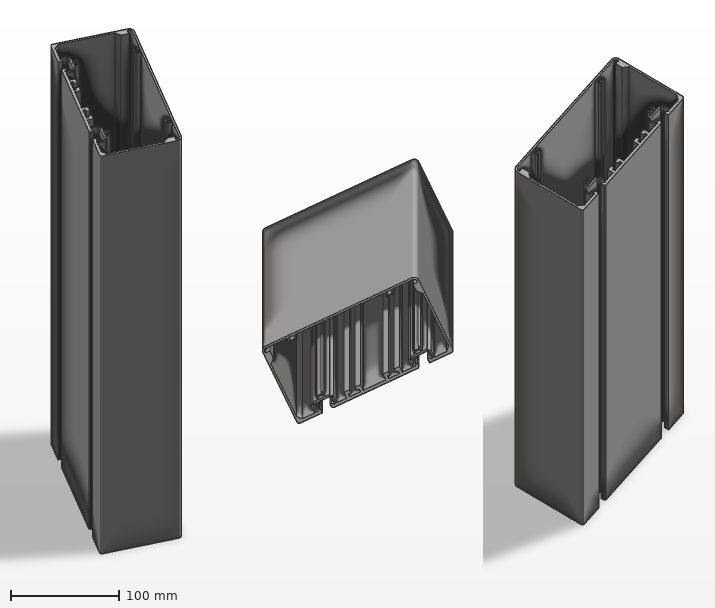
import cadquery as cq

width = 160.0
depth = 80.0
length = 500.0

wall = 2.0
front_wall = 3.0
back_corner_radius = 5.0
front_corner_radius = 2.5
gusset_leg = 4.0

block_start = 6.0
block_end = 13.5
block_reach = 4.5

channel_x = 50.0
slot_half_width = 5.0
slot_chamfer = 1.5
lip_width = 1.5
lip_height = 1.5
channel_half_width = 10.0
leg_thickness = 1.5
shoulder_height = 10.5
roof_underside = 11.0
roof_top = 13.0
roof_edge_base = 12.0
roof_half_width = 8.5
channel_chamfer = 1.5

port_half_width = 4.0
port_prong = 1.5
port_height = 6.0
port_shoulder = 4.5
port_web_base = 3.25
port_web_thickness = 0.5

clip_pair_x = 20.0
clip_pair_half_width = 8.5
clip_stem = 3.0
clip_head = 5.5
clip_head_base = 5.5
clip_height = 9.0

half_width = width / 2
front_y = -depth / 2
back_y = depth / 2
inner_x = half_width - wall
inner_front_y = front_y + front_wall
inner_back_y = back_y - wall


def prism(points):
    """Extrude a closed XY outline over the full length."""
    return cq.Workplane("XY").polyline(points).close().extrude(length)


def box(x_min, x_max, y_min, y_max):
    return prism([(x_min, y_min), (x_max, y_min), (x_max, y_max), (x_min, y_max)])


def both_sides(half):
    """Join a shape with its mirror image across the middle plane."""
    return half.union(half.mirror("YZ"))


def make_shell():
    outer = box(-half_width, half_width, front_y, back_y)
    outer = outer.edges("|Z and >Y").fillet(back_corner_radius)
    outer = outer.edges("|Z and <Y").fillet(front_corner_radius)
    cavity = box(-inner_x, inner_x, inner_front_y, inner_back_y)
    cavity = cavity.edges("|Z and >Y").fillet(back_corner_radius - wall)
    cavity = cavity.edges("|Z and <Y").chamfer(gusset_leg)
    return outer.cut(cavity)


def make_hook_block():
    """Block on the +X side wall, with a 45 degree flank on its front side."""
    root_x = half_width - wall / 2
    tip_x = inner_x - block_reach
    start_y = back_y - block_start
    end_y = back_y - block_end
    return prism([
        (root_x, start_y),
        (tip_x, start_y),
        (tip_x, end_y),
        (inner_x, end_y - block_reach),
        (root_x, end_y - block_reach),
    ])


def make_screw_port(base_y, direction):
    """Two prongs joined by a thin web; direction is the sense of growth along Y."""
    inner = port_half_width - port_prong
    root_y = base_y - direction * wall / 2
    shoulder_y = base_y + direction * port_shoulder
    tip_y = base_y + direction * port_height
    web_y = base_y + direction * port_web_base
    web_end_y = web_y + direction * port_web_thickness
    prong = prism([
        (inner, root_y),
        (port_half_width, root_y),
        (port_half_width, shoulder_y),
        (inner, tip_y),
    ])
    web_half_width = port_half_width - port_prong / 2
    web = box(-web_half_width, web_half_width, min(web_y, web_end_y), max(web_y, web_end_y))
    return both_sides(prong).union(web).translate((channel_x, 0, 0))


def make_channel_hood():
    """Legs and roof that cover the slot."""
    leg_outer = channel_half_width + leg_thickness
    inner_corner = channel_half_width - channel_chamfer
    root_y = front_wall / 2
    right_half = [
        (inner_corner, roof_underside),
        (channel_half_width, roof_underside - channel_chamfer),
        (channel_half_width, root_y),
        (leg_outer, root_y),
        (leg_outer, shoulder_height),
        (roof_half_width, roof_edge_base),
        (roof_half_width, roof_top),
    ]
    left_half = [(-x, y) for x, y in reversed(right_half)]
    return prism(right_half + left_half).translate((channel_x, front_y, 0))


def make_slot_lips():
    """Tapered lips along both inner edges of the slot."""
    lip = prism([
        (slot_half_width, front_wall / 2),
        (slot_half_width, front_wall + lip_height),
        (slot_half_width + lip_width, front_wall + lip_height),
        (slot_half_width + lip_width + lip_height, front_wall),
        (slot_half_width + lip_width + lip_height, front_wall / 2),
    ])
    return both_sides(lip).translate((channel_x, front_y, 0))


def make_slot_cut():
    """Slot through the front wall, chamfered outside on the edge nearer the middle."""
    slot = prism([
        (-slot_half_width - slot_chamfer, 0),
        (slot_half_width, 0),
        (slot_half_width, front_wall),
        (-slot_half_width, front_wall),
        (-slot_half_width, slot_chamfer),
    ])
    return slot.translate((channel_x, front_y, 0))


def make_clip_pair():
    """Two L-shaped clips whose heads face each other."""
    stem_inner = clip_pair_half_width - clip_stem
    head_inner = clip_pair_half_width - clip_head
    clip = prism([
        (clip_pair_half_width, front_wall / 2),
        (clip_pair_half_width, clip_height),
        (head_inner, clip_height),
        (head_inner, clip_head_base),
        (stem_inner, clip_head_base),
        (stem_inner, front_wall / 2),
    ])
    return both_sides(clip).translate((clip_pair_x, front_y, 0))


body = make_shell()
body = body.cut(both_sides(make_slot_cut()))
for feature in (
    make_hook_block(),
    make_channel_hood(),
    make_slot_lips(),
    make_clip_pair(),
    make_screw_port(front_y + roof_top, 1),
    make_screw_port(inner_back_y, -1),
):
    body = body.union(both_sides(feature))

result = body